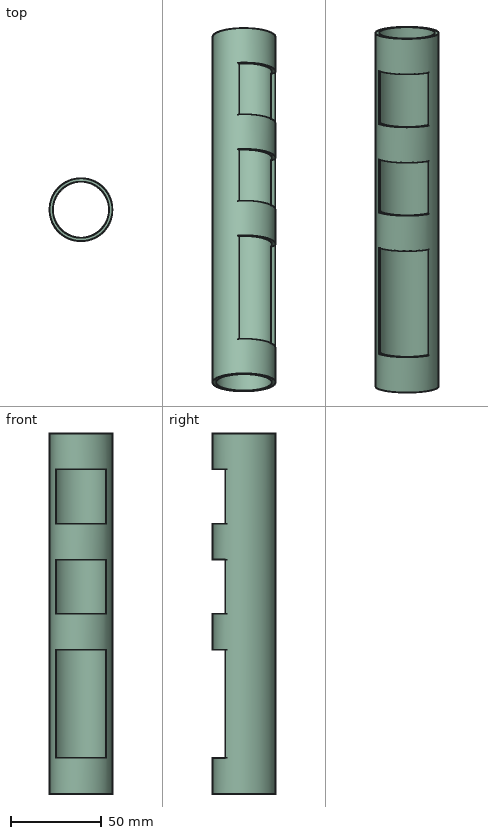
import cadquery as cq

outer_diameter = 35.0
inner_diameter = 31.0
tube_length = 200.0

window_width = 28.0
window_depth = 10.25
window_spans = [(20.0, 80.0), (100.0, 130.0), (150.0, 180.0)]


def make_tube():
    ring = cq.Workplane("XY").circle(outer_diameter / 2).circle(inner_diameter / 2)
    return ring.extrude(tube_length)


def make_window_cutter(bottom, top):
    """Block centred on the outermost -Y line, reaching window_depth into the tube.

    It stops just short of the bore at its sides, so each window keeps a narrow
    flat ledge along both upright edges.
    """
    base = cq.Workplane("XY", origin=(0, -outer_diameter / 2, bottom))
    return base.rect(window_width, 2 * window_depth).extrude(top - bottom)


result = make_tube()
for window_bottom, window_top in window_spans:
    result = result.cut(make_window_cutter(window_bottom, window_top))